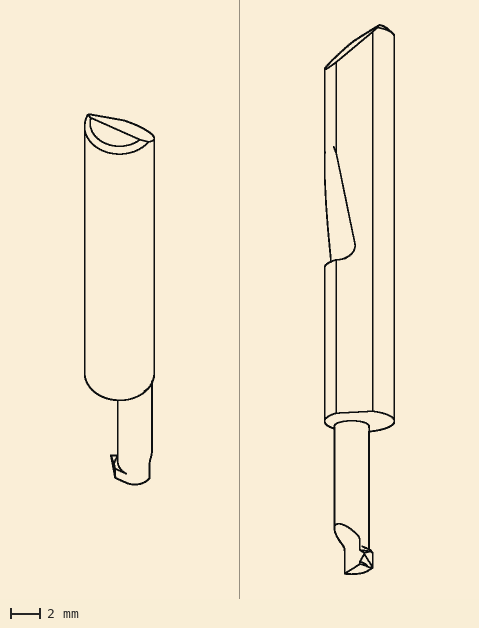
import cadquery as cq

total_length = 38.1
shank_diameter = 4.75
shank_radius = shank_diameter / 2
shank_bottom = 10.2
top_chamfer = 0.4

flat_distance = 2.02
flat_angle = 144.0

slope_edge_y = -0.57
slope_drop = shank_radius - slope_edge_y

notch_top = 29.9
notch_bottom = 21.2
notch_floor_y = 1.0
notch_fillet = 0.95

neck_radius = 1.2
neck_x = shank_radius - neck_radius
rake_y = -0.05
relief_top = 3.0
relief_bottom = 1.9
relief_fillet = 0.57

head_height = 1.03
head_corner_x = 0.325
tip_x = -0.65
tip_height = 0.57
tip_width = 0.08
shoulder_x = 0.05
shoulder_height = 1.37

overcut = 0.75
cut_width = 2 * (shank_radius + overcut)


def extrude_along_x(points):
    """Prism with a (y, z) outline, centred on the YZ plane."""
    return cq.Workplane("YZ").polyline(points).close().extrude(cut_width / 2, both=True)


def extrude_along_y(points):
    """Prism with an (x, z) outline, centred on the XZ plane."""
    return cq.Workplane("XZ").polyline(points).close().extrude(cut_width / 2, both=True)


def make_shank():
    length = total_length - shank_bottom
    shank = cq.Workplane("XY").workplane(offset=shank_bottom).circle(shank_radius).extrude(length)
    shank = shank.faces(">Z").chamfer(top_chamfer)

    flat = (
        cq.Workplane("XY")
        .box(shank_radius, cut_width, total_length, centered=(False, True, False))
        .translate((flat_distance, 0, 0))
        .rotate((0, 0, 0), (0, 0, 1), flat_angle)
    )

    outer_y = shank_radius + overcut
    slope = extrude_along_x([
        (slope_edge_y - overcut, total_length + overcut),
        (outer_y, total_length - slope_drop - overcut),
        (outer_y, total_length + overcut),
    ])

    taper = (notch_top - notch_bottom) / (shank_radius - notch_floor_y)
    notch = extrude_along_x([
        (notch_floor_y, notch_bottom),
        (outer_y, notch_bottom),
        (outer_y, notch_top + taper * overcut),
    ])
    notch = notch.edges("|X").edges("<Y").fillet(notch_fillet)
    return shank.cut(flat).cut(slope).cut(notch)


def make_neck():
    neck = cq.Workplane("XY").center(neck_x, 0).circle(neck_radius).extrude(shank_bottom)
    outer_y = neck_radius + overcut
    relief_rise = (relief_top - relief_bottom) / (neck_radius - rake_y)
    relief = extrude_along_x([
        (rake_y, -overcut),
        (outer_y, -overcut),
        (outer_y, relief_top + relief_rise * overcut),
        (rake_y, relief_bottom),
    ])
    inner_corner = cq.selectors.NearestToPointSelector((0, rake_y, relief_bottom))
    relief = relief.edges("|X").edges(inner_corner).fillet(relief_fillet)
    return neck.cut(relief)


def make_tooth():
    plan = [
        (tip_x, rake_y),
        (head_corner_x, -neck_radius),
        (neck_x, -neck_radius),
        (neck_x, rake_y),
    ]
    block = cq.Workplane("XY").polyline(plan).close().extrude(shoulder_height)

    point_profile = extrude_along_y([
        (tip_x, tip_height - tip_width / 2),
        (head_corner_x, 0),
        (neck_x, 0),
        (neck_x, shoulder_height),
        (shoulder_x, shoulder_height),
        (shoulder_x, head_height),
        (tip_x, tip_height + tip_width / 2),
    ])
    shoulder_profile = extrude_along_x([
        (rake_y, 0),
        (rake_y, shoulder_height),
        (-neck_radius, head_height),
        (-neck_radius, 0),
    ])
    return block.intersect(point_profile).intersect(shoulder_profile)


result = make_shank().union(make_neck()).union(make_tooth())